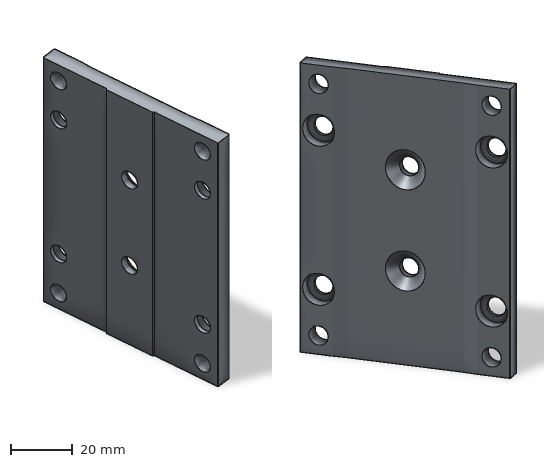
import cadquery as cq
import math

width = 73.0
height = 100.0
thickness = 6.5

rib_top_width = 19.0
rib_base_width = 20.0
rib_rise = 0.5

recess_floor_width = 41.0
recess_mouth_width = 50.0
recess_depth = 0.3

edge_bevel = 0.25

hole_diameter = 6.6
side_hole_spacing = 60.0
outer_hole_spacing = 87.0
inner_hole_spacing = 55.0
center_hole_spacing = 35.0

inner_counterbore_diameter = 11.0
inner_land = 1.5

countersink_diameter = 13.8
countersink_angle = 90.0

rib_face = -thickness / 2
side_face = rib_face + rib_rise
back_face = thickness / 2
recess_floor = back_face - recess_depth


def make_plate():
    """Extrude the symmetric cross-section along Z."""
    right_half = [
        (0, rib_face),
        (rib_top_width / 2, rib_face),
        (rib_base_width / 2, side_face),
        (width / 2 - edge_bevel, side_face),
        (width / 2, side_face + edge_bevel),
        (width / 2, back_face - edge_bevel),
        (width / 2 - edge_bevel, back_face),
        (recess_mouth_width / 2, back_face),
        (recess_floor_width / 2, recess_floor),
        (0, recess_floor),
    ]
    section = cq.Workplane("XY").polyline(right_half).mirrorY()
    return section.extrude(height).translate((0, 0, -height / 2))


def pins(positions, diameter, start_y):
    """Cylinders along +Y from start_y, reaching out past the back face."""
    return (
        cq.Workplane("XZ", origin=(0, start_y, 0))
        .pushPoints(positions)
        .circle(diameter / 2)
        .extrude(-thickness)
    )


def make_countersinks():
    """Cones at the central holes, widest at the recess floor."""
    mouth_radius = countersink_diameter / 2
    cone_depth = mouth_radius / math.tan(math.radians(countersink_angle / 2))
    cones = cq.Workplane("XY")
    for x, z in center_positions:
        mouth = cq.Vector(x, recess_floor, z)
        cones = cones.add(cq.Solid.makeCone(mouth_radius, 0, cone_depth, mouth, cq.Vector(0, -1, 0)))
    return cones.combine()


def mirrored_positions(x_spacing, z_spacing):
    """Four points placed symmetrically about the plate centre."""
    return [(x * x_spacing / 2, z * z_spacing / 2) for x in (-1, 1) for z in (-1, 1)]


outer_positions = mirrored_positions(side_hole_spacing, outer_hole_spacing)
inner_positions = mirrored_positions(side_hole_spacing, inner_hole_spacing)
center_positions = [(0, z * center_hole_spacing / 2) for z in (-1, 1)]

result = (
    make_plate()
    .cut(pins(outer_positions + inner_positions + center_positions, hole_diameter, rib_face))
    .cut(pins(inner_positions, inner_counterbore_diameter, side_face + inner_land))
    .cut(make_countersinks())
)